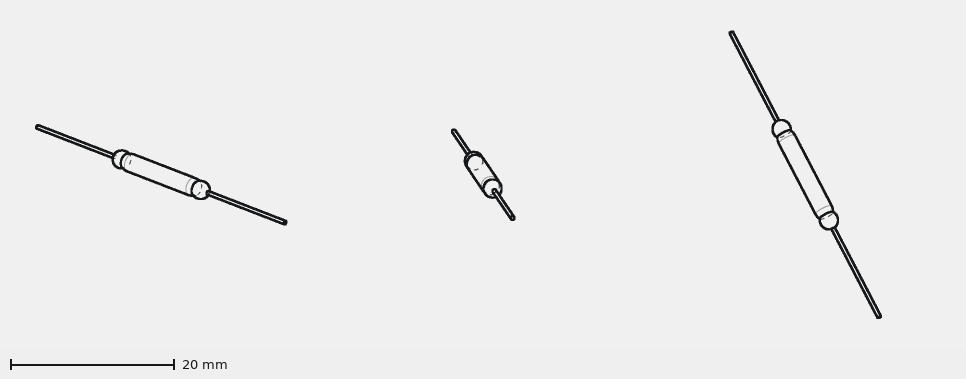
import cadquery as cq
import math

total_length = 40.4
body_diameter = 2.25
lead_diameter = 0.5
barrel_length = 10.0
dome_length = 0.75
bead_offset = 0.65
bead_arc_radius = 1.2

body_radius = body_diameter / 2
lead_radius = lead_diameter / 2
lead_end = total_length / 2
barrel_end = barrel_length / 2
neck_x = barrel_end + dome_length
bead_x = neck_x + bead_offset

arc_center_height = body_radius - bead_arc_radius
neck_radius = arc_center_height + math.sqrt(bead_arc_radius**2 - bead_offset**2)
lead_root_x = bead_x + math.sqrt(bead_arc_radius**2 - (lead_radius - arc_center_height) ** 2)

dome_drop = body_radius - neck_radius
dome_arc_radius = (dome_length**2 + dome_drop**2) / (2 * dome_drop)
dome_middle_x = barrel_end + dome_length / 2
dome_middle_radius = body_radius - dome_arc_radius + math.sqrt(dome_arc_radius**2 - (dome_length / 2) ** 2)

result = (
    cq.Workplane("XZ")
    .moveTo(-lead_end, 0)
    .lineTo(-lead_end, lead_radius)
    .lineTo(-lead_root_x, lead_radius)
    .threePointArc((-bead_x, body_radius), (-neck_x, neck_radius))
    .threePointArc((-dome_middle_x, dome_middle_radius), (-barrel_end, body_radius))
    .lineTo(barrel_end, body_radius)
    .threePointArc((dome_middle_x, dome_middle_radius), (neck_x, neck_radius))
    .threePointArc((bead_x, body_radius), (lead_root_x, lead_radius))
    .lineTo(lead_end, lead_radius)
    .lineTo(lead_end, 0)
    .close()
    .revolve(360, (0, 0, 0), (1, 0, 0))
)